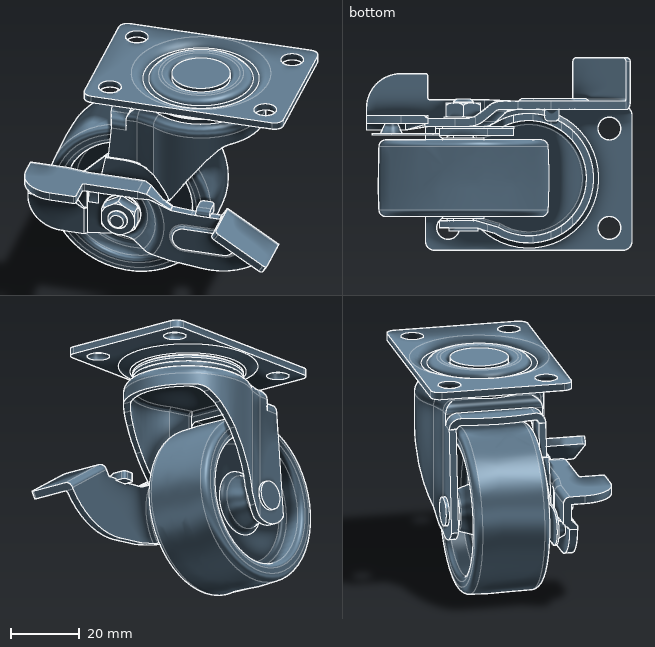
import cadquery as cq
import math


SWIVEL_X = 19.0
PLATE_LENGTH = 60.2
PLATE_WIDTH = 42.1
PLATE_THICKNESS = 2.2
PLATE_TOP = 40.1
PLATE_CORNER = 2.7
HOLE_SPACING_X = 46.95
HOLE_SPACING_Y = 28.9
HOLE_DIAMETER = 6.6
CUP_RADIUS = 20.3
CUP_FLOOR_RADIUS = 16.9
CUP_DEPTH = 1.8
CUP_WALL_MIDDLE = (18.8, 39.6)
CUP_BOTTOM = 36.35
LIP_OUTER_RADIUS = 15.2
LIP_CREST_OUTER = 12.4
LIP_CREST_INNER = 11.4
LIP_DEPTH = 1.55
RACE_RADIUS = 16.2
RACE_NECK_RADIUS = 15.5
RACE_TIP_RADIUS = 15.7
RACE_TOP = 35.9
RACE_RIM = 35.3
RACE_BOTTOM = 34.2

PIN_RADIUS = 8.5
SHEET = 2.1
FORK_TOP = 32.6
SKIRT_RADIUS = 18.9
SKIRT_BOTTOM = 26.1
SADDLE_TOP = 29.7
FORK_BEND = 3.1
FORK_INNER_BEND = 1.15
SADDLE_EXTRA_BEND = 0.5
LEG_OUTER_Y = 14.45
LEG_FLAT_END_X = 3.7
FAIRING_ANGLE = 58.3
CROWN_LEFT_X = 0.4
WEB_EDGE_X = -6.4
LEG_TOP_EDGE_X = -4.0
LEG_FOOT_RADIUS = 8.35
FOOT_ANGLE = 33.0
BRAKE_FLAT_RADIUS = 16.1

WHEEL_RADIUS = 24.9
TREAD_EDGE_RADIUS = 24.7
TREAD_HALF_WIDTH = 9.3
WHEEL_HALF_WIDTH = 11.2
SIDE_OUTER_RADIUS = 22.4
SHOULDER_MIDDLE = (24.05, 10.6)
RIM_RADIUS = 20.8
RIM_LIP = 1.55
WEB_HALF_WIDTH = 3.9
HUB_RADIUS = 6.0
HUB_HALF_WIDTH = 11.75
HUB_FOOT_RADIUS = 9.4
HUB_FOOT_BEND = 1.55

AXLE_RADIUS = 2.9
AXLE_CHAMFER = 0.9
AXLE_END_Y = -23.1
HEAD_RADIUS = 4.25
HEAD_HEIGHT = 0.9
NUT_ACROSS_CORNERS = 11.5
NUT_OUTER_Y = -21.9
NUT_CHAMFER = 0.6
NUT_FLANGE_RADIUS = 5.7
NUT_FLANGE_HEIGHT = 0.4

SPRING_SHEET = 0.55
SPRING_FOOT_RADIUS = 8.5
SHOE_INNER_Y = -12.5
SHOE_X = -20.95
SHOE_RADIUS = 5.6
BOSS_BASE_RADIUS = 3.2
BOSS_TIP_RADIUS = 1.85
BOSS_Z = -0.9
FOLD_TOP = (-5.65, BRAKE_FLAT_RADIUS)
FOLD_BOTTOM = (-8.1, 3.9)
SPRING_TIP_X = 14.7

LEVER_SHEET = 2.4
NUT_SEAT_BACK_Y = -LEG_OUTER_Y - SPRING_SHEET
NUT_SEAT_Y = NUT_SEAT_BACK_Y - LEVER_SHEET
GUARD_UPPER_Y = -14.0
GUARD_LOWER_Y = -15.85
ARM_BACK_Y = -20.0
ARM_Y = ARM_BACK_Y - LEVER_SHEET
LEVER_LEFT_X = -28.2
GUARD_SLANT_X = -16.85
GUARD_RIGHT_X = -10.4
GUARD_BOTTOM_Z = -8.9
GUARD_CORNER = 10.05
SEAT_BOTTOM_Z = -7.8
JOG_BOTTOM_Z = 2.0
JOG_DEPTH = GUARD_UPPER_Y - GUARD_LOWER_Y
JOG_TOP_Z = JOG_BOTTOM_Z + JOG_DEPTH
JOG_BACK_DROP = LEVER_SHEET * math.tan(math.radians(22.5))
JOG_TURN_X = -14.5
JOG_END_Z = 1.2
GUARD_STEP = NUT_SEAT_BACK_Y - GUARD_LOWER_Y
FLANGE_TOP_Z = 11.05
FLANGE_BOTTOM_Z = FLANGE_TOP_Z - LEVER_SHEET
FLANGE_MIDDLE_Z = FLANGE_TOP_Z - LEVER_SHEET / 2
WALL_TOP_Z = FLANGE_BOTTOM_Z + 0.4
FLANGE_TONGUE_Y = -30.5
FLANGE_STRIP_Y = -22.9
FLANGE_CORNER = 0.6
FLANGE_FLAT_END_X = 6.2
FLANGE_TIP = (16.1, 6.3)
ARM_EDGE_DROP = 0.2
LEVER_BEND = 1.9
DISH_X = -2.5
DISH_RADIUS = 8.2
DISH_ANGLE = 43.0
DISH_FOOT_BEND = 3.3
DISH_RIM_BEND = 4.3
GROOVE_LEFT_X = -10.2
GROOVE_LENGTH = 3.1
GROOVE_TOP_Z = 8.35
GROOVE_APEX_Z = 6.35
GROOVE_BOTTOM_Z = 1.7
GROOVE_DEPTH = 2.0
PEDAL_TOP_X = 33.1
PEDAL_TOP_Z = 8.9
PEDAL_LENGTH = 18.25
PEDAL_SLOPE = 32.0
PEDAL_END_Y = -35.1
PEDAL_CORNER = 1.15
PEDAL_INNER_BEND = 0.6
RIB_X = 26.3
RIB_Z = -2.7
RIB_LENGTH = 20.4
RIB_WIDTH = 8.5
RIB_HEIGHT = 0.8
CATCH_X = (23.7, 27.85)
CATCH_TOP_Z = 7.35
CATCH_END_Y = -16.6


def cylinder_y(radius, y_from, y_to):
    """A cylinder along Y between two Y positions."""
    start = max(y_from, y_to)
    return cq.Workplane("XZ", origin=(0, start, 0)).circle(radius).extrude(abs(y_to - y_from))


def extrude_y(profile_points, y_from, y_to):
    """A straight-sided XZ outline carried from one Y position to another."""
    start = max(y_from, y_to)
    plane = cq.Workplane("XZ", origin=(0, start, 0))
    return plane.polyline(profile_points).close().extrude(abs(y_to - y_from))


def lip_arc_middle(crest_x, foot_x, drop):
    """The middle of an arc that leaves the lip's crest level and falls by `drop` at its foot."""
    run = foot_x - crest_x
    radius = (run**2 + drop**2) / (2 * drop)
    half_angle = math.asin(run / radius) / 2
    return (crest_x + radius * math.sin(half_angle), PLATE_TOP - radius * (1 - math.cos(half_angle)))


def make_plate():
    blank = (
        cq.Workplane("XY", origin=(0, 0, PLATE_TOP - PLATE_THICKNESS))
        .rect(PLATE_LENGTH, PLATE_WIDTH)
        .extrude(PLATE_THICKNESS)
        .edges("|Z")
        .fillet(PLATE_CORNER)
    )
    bolt_holes = (
        cq.Workplane("XY", origin=(0, 0, PLATE_TOP - PLATE_THICKNESS))
        .rect(HOLE_SPACING_X, HOLE_SPACING_Y, forConstruction=True)
        .vertices()
        .circle(HOLE_DIAMETER / 2)
        .extrude(PLATE_THICKNESS)
    )
    opening = cq.Workplane("XY").circle(CUP_RADIUS).extrude(PLATE_TOP)
    floor = PLATE_TOP - CUP_DEPTH
    lip_foot = PLATE_TOP - LIP_DEPTH
    outer_middle = lip_arc_middle(LIP_CREST_OUTER, LIP_OUTER_RADIUS, CUP_DEPTH)
    inner_middle = lip_arc_middle(LIP_CREST_INNER, PIN_RADIUS, LIP_DEPTH)
    cup = (
        cq.Workplane("XZ")
        .moveTo(CUP_RADIUS, PLATE_TOP)
        .threePointArc(CUP_WALL_MIDDLE, (CUP_FLOOR_RADIUS, floor))
        .lineTo(LIP_OUTER_RADIUS, floor)
        .threePointArc(outer_middle, (LIP_CREST_OUTER, PLATE_TOP))
        .lineTo(LIP_CREST_INNER, PLATE_TOP)
        .threePointArc(inner_middle, (PIN_RADIUS, lip_foot))
        .lineTo(PIN_RADIUS, RACE_BOTTOM)
        .lineTo(RACE_TIP_RADIUS, RACE_BOTTOM)
        .lineTo(RACE_RADIUS, RACE_RIM)
        .lineTo(RACE_RADIUS, RACE_TOP)
        .lineTo(RACE_NECK_RADIUS, RACE_TOP)
        .lineTo(RACE_NECK_RADIUS, CUP_BOTTOM)
        .lineTo(CUP_FLOOR_RADIUS, CUP_BOTTOM)
        .lineTo(CUP_RADIUS, PLATE_TOP - PLATE_THICKNESS)
        .close()
        .revolve(360, (0, 0, 0), (0, 1, 0))
    )
    plate = blank.cut(bolt_holes).cut(opening).union(cup)
    return plate.translate((SWIVEL_X, 0, 0))


def fork_plan(inset, left_x, bottom, top):
    """The fork's plan shape moved inward by `inset`: two flat cheeks running into a round skirt."""
    radius = SKIRT_RADIUS - inset
    half_width = LEG_OUTER_Y - inset
    join_x = SWIVEL_X - radius * math.cos(math.radians(FAIRING_ANGLE))
    join_y = radius * math.sin(math.radians(FAIRING_ANGLE))
    return (
        cq.Workplane("XY", origin=(0, 0, bottom))
        .moveTo(left_x, -half_width)
        .lineTo(LEG_FLAT_END_X, -half_width)
        .lineTo(join_x, -join_y)
        .threePointArc((SWIVEL_X + radius, 0), (join_x, join_y))
        .lineTo(LEG_FLAT_END_X, half_width)
        .lineTo(left_x, half_width)
        .close()
        .extrude(top - bottom)
    )


def fork_form(inset, left_x, bend):
    """A solid fork shape with rounded top edges: a low saddle and a raised crown."""
    bottom = -2 * LEG_FOOT_RADIUS
    saddle = fork_plan(inset, left_x, bottom, SADDLE_TOP - inset)
    saddle = saddle.faces(">Z").edges("not <X").fillet(bend + SADDLE_EXTRA_BEND)
    crown = fork_plan(inset, CROWN_LEFT_X + inset, bottom, FORK_TOP - inset)
    crown = crown.faces(">Z").edges().fillet(bend)
    return saddle.union(crown)


def fork_side():
    """The side outline of the fork, carried through its whole width."""
    foot_x = LEG_FOOT_RADIUS * math.cos(math.radians(FOOT_ANGLE))
    foot_z = -LEG_FOOT_RADIUS * math.sin(math.radians(FOOT_ANGLE))
    skirt_right = SWIVEL_X + SKIRT_RADIUS + 0.8
    return (
        cq.Workplane("XZ")
        .moveTo(-foot_x, foot_z)
        .threePointArc((0, -LEG_FOOT_RADIUS), (foot_x, foot_z))
        .lineTo(20.25, 14.9)
        .lineTo(25.5, 21.7)
        .lineTo(28.6, 24.75)
        .tangentArcPoint((31.7, SKIRT_BOTTOM), relative=False)
        .lineTo(skirt_right, SKIRT_BOTTOM)
        .lineTo(skirt_right, FORK_TOP)
        .lineTo(WEB_EDGE_X, FORK_TOP)
        .lineTo(WEB_EDGE_X, SADDLE_TOP - SHEET)
        .lineTo(LEG_TOP_EDGE_X, SKIRT_BOTTOM)
        .close()
        .extrude(SKIRT_RADIUS + 0.8, both=True)
    )


def make_fork():
    left_x = -2 * LEG_FOOT_RADIUS
    shell = fork_form(0, left_x, FORK_BEND).cut(fork_form(SHEET, 2 * left_x, FORK_INNER_BEND))
    flat_zone = cylinder_y(BRAKE_FLAT_RADIUS, 0, -SKIRT_RADIUS)
    flat_cheek = cylinder_y(BRAKE_FLAT_RADIUS, SHEET - LEG_OUTER_Y, -LEG_OUTER_Y)
    sheet = shell.cut(flat_zone).union(flat_cheek).intersect(fork_side())
    bowed_edge = (
        cq.Workplane("XY", origin=(0, 0, SKIRT_BOTTOM))
        .moveTo(LEG_TOP_EDGE_X, -LEG_OUTER_Y)
        .threePointArc((WEB_EDGE_X, 0), (LEG_TOP_EDGE_X, LEG_OUTER_Y))
        .lineTo(WEB_EDGE_X - 0.8, LEG_OUTER_Y)
        .lineTo(WEB_EDGE_X - 0.8, -LEG_OUTER_Y)
        .close()
        .extrude(FORK_TOP - SKIRT_BOTTOM)
    )
    axle_hole = cylinder_y(AXLE_RADIUS, SKIRT_RADIUS, -SKIRT_RADIUS)
    head_seat = cylinder_y(HEAD_RADIUS, LEG_OUTER_Y, SKIRT_RADIUS)
    crown = cq.Workplane("XY", origin=(SWIVEL_X, 0, FORK_TOP - SHEET / 2))
    race = crown.circle(RACE_RADIUS).extrude(RACE_BOTTOM - FORK_TOP + SHEET / 2)
    pin = crown.circle(PIN_RADIUS).extrude(PLATE_TOP - FORK_TOP + SHEET / 2)
    return sheet.cut(bowed_edge).cut(axle_hole).cut(head_seat).union(race).union(pin)


def wheel_recess():
    """The deep ring-shaped recess in one side, between a conical hub and a rounded rim lip."""
    wall_radius = RIM_RADIUS - RIM_LIP
    return (
        cq.Workplane("XY")
        .moveTo(HUB_RADIUS, WHEEL_HALF_WIDTH)
        .lineTo(HUB_FOOT_RADIUS - HUB_FOOT_BEND, WEB_HALF_WIDTH + HUB_FOOT_BEND)
        .tangentArcPoint((HUB_FOOT_RADIUS, WEB_HALF_WIDTH), relative=False)
        .lineTo(wall_radius - RIM_LIP, WEB_HALF_WIDTH)
        .tangentArcPoint((wall_radius, WEB_HALF_WIDTH + RIM_LIP), relative=False)
        .lineTo(wall_radius, WHEEL_HALF_WIDTH - RIM_LIP)
        .tangentArcPoint((RIM_RADIUS, WHEEL_HALF_WIDTH), relative=False)
        .close()
        .revolve(360, (0, 0, 0), (0, 1, 0))
    )


def make_wheel():
    shoulder_x, shoulder_y = SHOULDER_MIDDLE
    tyre = (
        cq.Workplane("XY")
        .moveTo(0, -WHEEL_HALF_WIDTH)
        .lineTo(SIDE_OUTER_RADIUS, -WHEEL_HALF_WIDTH)
        .threePointArc((shoulder_x, -shoulder_y), (TREAD_EDGE_RADIUS, -TREAD_HALF_WIDTH))
        .threePointArc((WHEEL_RADIUS, 0), (TREAD_EDGE_RADIUS, TREAD_HALF_WIDTH))
        .threePointArc((shoulder_x, shoulder_y), (SIDE_OUTER_RADIUS, WHEEL_HALF_WIDTH))
        .lineTo(0, WHEEL_HALF_WIDTH)
        .close()
        .revolve(360, (0, 0, 0), (0, 1, 0))
    )
    recess = wheel_recess()
    hub = cylinder_y(HUB_RADIUS, -HUB_HALF_WIDTH, HUB_HALF_WIDTH)
    bore = cylinder_y(AXLE_RADIUS, -HUB_HALF_WIDTH, HUB_HALF_WIDTH)
    return tyre.cut(recess).cut(recess.mirror("XZ")).union(hub).cut(bore)


def make_axle():
    shank = cylinder_y(AXLE_RADIUS, LEG_OUTER_Y, AXLE_END_Y).faces("<Y").chamfer(AXLE_CHAMFER)
    head = cylinder_y(HEAD_RADIUS, LEG_OUTER_Y + HEAD_HEIGHT, LEG_OUTER_Y)
    return shank.union(head)


def make_nut():
    height = NUT_SEAT_Y - NUT_OUTER_Y
    hexagon = (
        cq.Workplane("XZ", origin=(0, NUT_SEAT_Y, 0))
        .polygon(6, NUT_ACROSS_CORNERS)
        .extrude(height)
        .rotate((0, 0, 0), (0, 1, 0), 30)
    )
    rounding = cylinder_y(NUT_ACROSS_CORNERS / 2, NUT_SEAT_Y, NUT_OUTER_Y).edges().chamfer(NUT_CHAMFER)
    flange = cylinder_y(NUT_FLANGE_RADIUS, NUT_SEAT_Y, NUT_SEAT_Y - NUT_FLANGE_HEIGHT)
    bore = cylinder_y(AXLE_RADIUS, NUT_SEAT_Y, NUT_OUTER_Y)
    return hexagon.intersect(rounding).union(flange).cut(bore)


def make_spring():
    foot = SPRING_FOOT_RADIUS * math.sqrt(0.5)
    corner = BRAKE_FLAT_RADIUS * math.sqrt(0.5)
    tip_z = math.sqrt(BRAKE_FLAT_RADIUS**2 - SPRING_TIP_X**2)
    cheek = (
        cq.Workplane("XZ", origin=(0, -LEG_OUTER_Y, 0))
        .moveTo(*FOLD_BOTTOM)
        .lineTo(*FOLD_TOP)
        .lineTo(0, BRAKE_FLAT_RADIUS)
        .threePointArc((corner, corner), (SPRING_TIP_X, tip_z))
        .lineTo(foot, -foot)
        .threePointArc((0, -SPRING_FOOT_RADIUS), (-foot, -foot))
        .close()
        .extrude(SPRING_SHEET)
    )
    fold_outline = [FOLD_BOTTOM, FOLD_TOP, (0, FOLD_TOP[1]), (0, FOLD_BOTTOM[1])]
    fold = extrude_y(fold_outline, SHOE_INNER_Y, NUT_SEAT_BACK_Y)
    shoe = (
        cq.Workplane("XZ", origin=(0, SHOE_INNER_Y, 0))
        .moveTo(*FOLD_TOP)
        .lineTo(FOLD_TOP[0] + SHOE_RADIUS - FOLD_TOP[1], SHOE_RADIUS)
        .lineTo(SHOE_X, SHOE_RADIUS)
        .threePointArc((SHOE_X - SHOE_RADIUS, 0), (SHOE_X, -SHOE_RADIUS))
        .lineTo(FOLD_BOTTOM[0] - 0.8, -SHOE_RADIUS)
        .lineTo(0, FOLD_BOTTOM[1])
        .close()
        .extrude(SPRING_SHEET)
    )
    shoe_outer_y = SHOE_INNER_Y - SPRING_SHEET
    boss = (
        cq.Workplane("XZ", origin=(SHOE_X, shoe_outer_y, BOSS_Z))
        .circle(BOSS_BASE_RADIUS)
        .workplane(offset=shoe_outer_y - GUARD_LOWER_Y)
        .circle(BOSS_TIP_RADIUS)
        .loft()
    )
    axle_hole = cylinder_y(AXLE_RADIUS, 0, NUT_SEAT_BACK_Y)
    return fold.union(shoe).cut(fork_side()).union(cheek).union(boss).cut(axle_hole)


def lever_flange():
    """The level top flange, running down to the arm at its right end."""
    side = extrude_y(
        [
            (LEVER_LEFT_X, FLANGE_BOTTOM_Z),
            (LEVER_LEFT_X, FLANGE_TOP_Z),
            (FLANGE_FLAT_END_X, FLANGE_TOP_Z),
            (8.9, 10.5),
            FLANGE_TIP,
            (9.7, 8.8),
            (FLANGE_FLAT_END_X, FLANGE_BOTTOM_Z),
        ],
        0,
        FLANGE_TONGUE_Y,
    )
    round_x = LEVER_LEFT_X + GUARD_CORNER
    round_y = FLANGE_TONGUE_Y + GUARD_CORNER
    diagonal = GUARD_CORNER * math.sqrt(0.5)
    plan = (
        cq.Workplane("XY")
        .moveTo(LEVER_LEFT_X, round_y)
        .lineTo(LEVER_LEFT_X, GUARD_UPPER_Y)
        .lineTo(GUARD_SLANT_X, GUARD_UPPER_Y)
        .lineTo(GUARD_RIGHT_X, NUT_SEAT_BACK_Y)
        .lineTo(4.65, NUT_SEAT_BACK_Y)
        .lineTo(13.15, ARM_BACK_Y)
        .lineTo(FLANGE_TIP[0], ARM_BACK_Y)
        .lineTo(FLANGE_TIP[0], ARM_Y)
        .lineTo(FLANGE_FLAT_END_X, FLANGE_STRIP_Y)
        .lineTo(GUARD_RIGHT_X, FLANGE_STRIP_Y)
        .lineTo(GUARD_RIGHT_X, FLANGE_TONGUE_Y)
        .lineTo(round_x, FLANGE_TONGUE_Y)
        .threePointArc((round_x - diagonal, round_y - diagonal), (LEVER_LEFT_X, round_y))
        .close()
        .extrude(FLANGE_TOP_Z + 0.8)
    )
    notch = cq.selectors.BoxSelector(
        (GUARD_RIGHT_X - 0.8, FLANGE_TONGUE_Y - 0.8, 0),
        (GUARD_RIGHT_X + 0.8, FLANGE_STRIP_Y + 0.8, FLANGE_TOP_Z + 0.8),
    )
    plan = plan.edges("|Z").edges(notch).fillet(FLANGE_CORNER)
    back_edge = cq.selectors.BoxSelector(
        (LEVER_LEFT_X, NUT_SEAT_BACK_Y - 0.1, FLANGE_TOP_Z - 0.1),
        (FLANGE_FLAT_END_X - 0.8, 0, FLANGE_TOP_Z + 0.1),
    )
    return side.intersect(plan).edges(back_edge).fillet(LEVER_BEND)


def lever_guard():
    """The left wall: an upper part set inward, jogged out to a rounded lower part."""
    lower_front = GUARD_LOWER_Y - LEVER_SHEET
    upper_front = GUARD_UPPER_Y - LEVER_SHEET
    jog_section = [
        (GUARD_UPPER_Y, WALL_TOP_Z),
        (GUARD_UPPER_Y, JOG_TOP_Z - JOG_BACK_DROP),
        (GUARD_LOWER_Y, JOG_BOTTOM_Z - JOG_BACK_DROP),
        (lower_front, JOG_BOTTOM_Z - JOG_BACK_DROP),
        (lower_front, JOG_BOTTOM_Z),
        (upper_front, JOG_TOP_Z),
        (upper_front, WALL_TOP_Z),
    ]
    upper = (
        cq.Workplane("YZ", origin=(LEVER_LEFT_X, 0, 0))
        .polyline(jog_section)
        .close()
        .extrude(GUARD_SLANT_X - LEVER_LEFT_X)
    )
    slanted = (
        cq.Workplane("XY")
        .moveTo(GUARD_SLANT_X, GUARD_UPPER_Y)
        .lineTo(GUARD_RIGHT_X, GUARD_LOWER_Y)
        .lineTo(GUARD_RIGHT_X, lower_front)
        .lineTo(GUARD_SLANT_X, upper_front)
        .close()
        .extrude(WALL_TOP_Z)
    )
    round_x = LEVER_LEFT_X + GUARD_CORNER
    round_z = GUARD_BOTTOM_Z + GUARD_CORNER
    diagonal = GUARD_CORNER * math.sqrt(0.5)
    lower = (
        cq.Workplane("XZ", origin=(0, GUARD_LOWER_Y, 0))
        .moveTo(LEVER_LEFT_X, JOG_TOP_Z)
        .lineTo(JOG_TURN_X, JOG_TOP_Z)
        .lineTo(GUARD_RIGHT_X, JOG_END_Z)
        .lineTo(GUARD_RIGHT_X, GUARD_BOTTOM_Z)
        .lineTo(round_x, GUARD_BOTTOM_Z)
        .threePointArc((round_x - diagonal, round_z - diagonal), (LEVER_LEFT_X, round_z))
        .close()
        .extrude(LEVER_SHEET)
    )
    jog_zone = cq.selectors.BoxSelector(
        (LEVER_LEFT_X + 0.8, lower_front - 0.1, JOG_END_Z),
        (GUARD_RIGHT_X, lower_front + 0.1, JOG_TOP_Z + 0.8),
    )
    lower = lower.edges(jog_zone).chamfer(JOG_DEPTH)
    lower = lower.edges("|Z and >X and <Y").chamfer(GUARD_STEP)
    return upper.union(slanted).union(lower)


def lever_nut_seat():
    """The flat wall left of the axle, with a V-shaped groove along X."""
    seat = extrude_y(
        [
            (GUARD_RIGHT_X - 0.8, WALL_TOP_Z),
            (GUARD_RIGHT_X - 0.8, GUARD_BOTTOM_Z),
            (DISH_X, SEAT_BOTTOM_Z),
            (DISH_X, WALL_TOP_Z),
        ],
        NUT_SEAT_BACK_Y,
        NUT_SEAT_Y,
    )
    groove = (
        cq.Workplane("YZ", origin=(GROOVE_LEFT_X, 0, 0))
        .moveTo(NUT_SEAT_Y, GROOVE_TOP_Z)
        .lineTo(NUT_SEAT_Y + GROOVE_DEPTH, GROOVE_APEX_Z)
        .lineTo(NUT_SEAT_Y, GROOVE_BOTTOM_Z)
        .close()
        .extrude(GROOVE_LENGTH)
    )
    return seat.cut(groove)


def pedal_point(along, down):
    """A point on the tilted pedal, `along` its top face and `down` into its thickness."""
    angle = math.radians(PEDAL_SLOPE)
    x = PEDAL_TOP_X + along * math.cos(angle) - down * math.sin(angle)
    z = PEDAL_TOP_Z - along * math.sin(angle) - down * math.cos(angle)
    return (x, z)


def dish_points(depth):
    """Radius and Y of the dish's bend limits on the surface `depth` behind the lever's front."""
    angle = math.radians(DISH_ANGLE)
    rise = 1 - math.cos(angle)
    drop = NUT_SEAT_Y - ARM_Y
    bends = DISH_FOOT_BEND + DISH_RIM_BEND
    rim_radius = DISH_RADIUS + bends * math.sin(angle) + (drop - bends * rise) / math.tan(angle)
    foot_bend = DISH_FOOT_BEND + depth
    rim_bend = DISH_RIM_BEND - depth
    foot = (DISH_RADIUS, NUT_SEAT_Y + depth)
    rim = (rim_radius, ARM_Y + depth)
    cone_start = (foot[0] + foot_bend * math.sin(angle), foot[1] - foot_bend * rise)
    cone_end = (rim[0] - rim_bend * math.sin(angle), rim[1] + rim_bend * rise)
    return foot, cone_start, cone_end, rim


def lever_arm():
    """The right arm, dished outward around the nut, with a long raised rib."""
    far = PEDAL_TOP_X + PEDAL_LENGTH - DISH_X
    foot, cone_start, cone_end, rim = dish_points(0)
    back_foot, back_cone_start, back_cone_end, back_rim = dish_points(LEVER_SHEET)
    dished_sheet = (
        cq.Workplane("XY")
        .moveTo(0, NUT_SEAT_Y)
        .lineTo(*foot)
        .tangentArcPoint(cone_start, relative=False)
        .lineTo(*cone_end)
        .tangentArcPoint(rim, relative=False)
        .lineTo(far, ARM_Y)
        .lineTo(far, ARM_BACK_Y)
        .lineTo(*back_rim)
        .tangentArcPoint(back_cone_end, relative=False)
        .lineTo(*back_cone_start)
        .tangentArcPoint(back_foot, relative=False)
        .lineTo(0, NUT_SEAT_BACK_Y)
        .close()
        .revolve(360, (0, 0, 0), (0, 1, 0))
        .translate((DISH_X, 0, 0))
    )
    outline = (
        cq.Workplane("XZ")
        .moveTo(DISH_X, SEAT_BOTTOM_Z)
        .lineTo(DISH_X, FLANGE_MIDDLE_Z)
        .lineTo(6.95, FLANGE_MIDDLE_Z)
        .lineTo(FLANGE_TIP[0], FLANGE_TIP[1] - ARM_EDGE_DROP)
        .lineTo(22.3, 5.6)
        .lineTo(30.9, 5.5)
        .lineTo(*pedal_point(0, LEVER_SHEET))
        .lineTo(*pedal_point(PEDAL_LENGTH, LEVER_SHEET))
        .threePointArc((38.6, -10.0), (25.5, -12.2))
        .lineTo(15.85, -11.1)
        .lineTo(3.55, -8.35)
        .close()
        .extrude(-PEDAL_END_Y)
    )
    rib = (
        cq.Workplane("XZ", origin=(RIB_X, ARM_Y, RIB_Z))
        .slot2D(RIB_LENGTH, RIB_WIDTH)
        .extrude(RIB_HEIGHT, taper=45)
    )
    return dished_sheet.intersect(outline).union(rib)


def lever_pedal():
    """The tilted foot pedal, bent forward from the arm."""
    section = [
        pedal_point(0, 0),
        pedal_point(PEDAL_LENGTH, 0),
        pedal_point(PEDAL_LENGTH, LEVER_SHEET),
        pedal_point(0, LEVER_SHEET),
    ]
    angle = math.radians(PEDAL_SLOPE)
    upward = cq.Vector(math.sin(angle), 0, math.cos(angle))
    pedal = extrude_y(section, ARM_BACK_Y, PEDAL_END_Y)
    outer_corners = cq.selectors.ParallelDirSelector(upward)
    pedal = pedal.faces("<Y").edges(outer_corners).fillet(PEDAL_CORNER)
    bend_edge = cq.selectors.PerpendicularDirSelector(upward)
    return pedal.faces(">Y").edges(bend_edge).edges(">Z").fillet(LEVER_BEND)


def lever_catch():
    """The small hook bent backward from the top edge of the arm."""
    level = cq.Workplane("XY").box(
        CATCH_X[1] - CATCH_X[0], CATCH_END_Y - ARM_Y, LEVER_SHEET, centered=False
    )
    level = level.translate((CATCH_X[0], ARM_Y, CATCH_TOP_Z - LEVER_SHEET))
    level = level.edges(">Y and |Z").fillet(PEDAL_CORNER)
    return level.edges("<Y and >Z").fillet(LEVER_BEND)


def make_lever():
    lever = lever_flange().union(lever_guard()).union(lever_nut_seat()).union(lever_arm())
    lever = lever.union(lever_pedal()).union(lever_catch())
    inner_bend = cq.selectors.BoxSelector(
        (PEDAL_TOP_X + 0.8, ARM_Y - 0.1, RIB_Z),
        (PEDAL_TOP_X + 0.7 * PEDAL_LENGTH, ARM_Y + 0.1, PEDAL_TOP_Z),
    )
    lever = lever.edges(inner_bend).fillet(PEDAL_INNER_BEND)
    return lever.cut(cylinder_y(AXLE_RADIUS, 0, ARM_Y))


plate = make_plate()
fork = make_fork()
wheel = make_wheel()
axle = make_axle()
nut = make_nut()
spring = make_spring()
lever = make_lever()

result = cq.Compound.makeCompound(
    [plate.val(), fork.val(), wheel.val(), axle.val(), nut.val(), spring.val(), lever.val()]
)